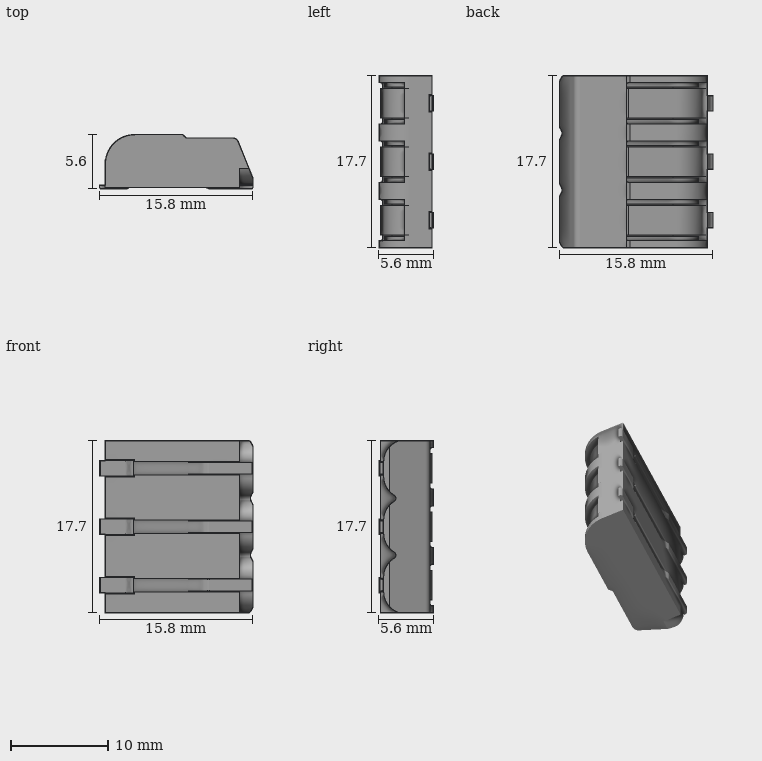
import cadquery as cq
import math

LENGTH_Z = 17.7
HALF_Z = LENGTH_Z / 2
POLE_PITCH = 6.0
POLES = (-POLE_PITCH, 0.0, POLE_PITCH)
OVER = 0.18

HEIGHT = 5.45
CORNER_RADIUS = 3.05
STEP_DROP = 0.34
STEP_FOOT_X = 8.3
LOW_TOP = HEIGHT - STEP_DROP
SLOPE_TOP_X = 13.52
WIRE_END_X = 15.2
SLOPE_FOOT_Y = 0.94
SLOPE_FILLET = 0.7
CORNER_CENTER_Y = HEIGHT - CORNER_RADIUS

ENTRY_START_X = 13.82
ENTRY_BOTTOM = 0.34
ENTRY_RADIUS = 2.23
VALLEY_RADIUS = 0.35
MIDDLE_FLAT_Z = 0.7
OUTER_FLAT_Z = (5.13, 6.7)
ENTRY_CENTER_Y = ENTRY_BOTTOM + ENTRY_RADIUS

RECESS_WIDTH = 4.23
RECESS_CORNER = 0.16
LEDGE_Y = 2.83
SIDE_RADIUS = 2.18
SIDE_END_Y = 4.87
LEVER_WIDTH = 3.05
SLIT_WIDTH = 0.15
SLIT_STEP_X = 3.54
SLIT_STEP_Y = 4.1
LEVER_RADIUS = 2.85
LEVER_CENTER = (3.22, 2.16)
LEVER_FOOT_RADIUS = 0.39
LEVER_END_Y = 5.31

SLOT_DEPTH = ENTRY_BOTTOM
WIDE_SLOT_END_X = 3.03
WIDE_SLOT_WIDTH = 1.8
NARROW_SLOT_WIDTH = 1.38
PIN_BOTTOM = -0.15
PIN_TOP = 0.25
LEFT_PIN_START_X = -0.6
LEFT_PIN_WIDTH = 1.6
LEFT_BEND_X = (2.1, 2.78)
LEFT_PIN_END_X = 2.9
LEFT_PIN_END_Y = 0.15
RIGHT_PIN_WIDTH = 1.2
RIGHT_PIN_START_X = 8.58
RIGHT_BEND_TOP = ((9.72, 0.28), (9.98, 0.21))
RIGHT_BEND_FOOT = ((10.51, -0.07), (10.7, PIN_BOTTOM))
PIN_CHAMFER = 0.12


def slab(outline, width, z_center):
    """Extrude a closed XY outline to a width centred on z_center."""
    return outline.extrude(width).translate((0, 0, z_center - width / 2))


def bar(x_range, y_range, width, z_center):
    """Rectangular block centred on z_center."""
    x_min, x_max = x_range
    y_min, y_max = y_range
    outline = cq.Workplane("XY").moveTo(x_min, y_min).lineTo(x_max, y_min).lineTo(x_max, y_max)
    return slab(outline.lineTo(x_min, y_max).close(), width, z_center)


def on_circle(center, radius, angle):
    """Point at an angle in degrees measured from the first axis."""
    turn = math.radians(angle)
    return (center[0] + radius * math.cos(turn), center[1] + radius * math.sin(turn))


def make_housing():
    corner = (CORNER_RADIUS, CORNER_CENTER_Y)
    outline = (
        cq.Workplane("XY")
        .lineTo(0, CORNER_CENTER_Y)
        .threePointArc(on_circle(corner, CORNER_RADIUS, 135), (CORNER_RADIUS, HEIGHT))
        .lineTo(STEP_FOOT_X - STEP_DROP, HEIGHT)
        .lineTo(STEP_FOOT_X, LOW_TOP)
        .lineTo(SLOPE_TOP_X, LOW_TOP)
        .lineTo(WIRE_END_X, SLOPE_FOOT_Y)
        .lineTo(WIRE_END_X, 0)
        .close()
    )
    slope_edge = cq.selectors.NearestToPointSelector((SLOPE_TOP_X, LOW_TOP, 0))
    return slab(outline, LENGTH_Z, 0).edges(slope_edge).fillet(SLOPE_FILLET)


def make_entry_cutter():
    """Space under the three rounded wire entries, bounded above by a wavy outline in the YZ plane."""
    inner_z, outer_z = OUTER_FLAT_Z
    half_span = (inner_z - MIDDLE_FLAT_Z) / 2
    valley_z = MIDDLE_FLAT_Z + half_span
    valley_y = ENTRY_CENTER_Y - math.sqrt((ENTRY_RADIUS + VALLEY_RADIUS) ** 2 - half_span**2)
    touch = math.degrees(math.acos(half_span / (ENTRY_RADIUS + VALLEY_RADIUS)))
    rim = math.degrees(math.acos((HALF_Z - outer_z) / ENTRY_RADIUS))

    def entry_point(z, side, angle):
        y = ENTRY_CENTER_Y - ENTRY_RADIUS * math.sin(math.radians(angle))
        return (y, z + side * ENTRY_RADIUS * math.cos(math.radians(angle)))

    def half_way(angle):
        return (angle + 90) / 2

    outline = cq.Workplane("YZ").moveTo(-OVER, -HALF_Z).lineTo(*entry_point(-outer_z, -1, rim))
    outline = outline.threePointArc(entry_point(-outer_z, -1, half_way(rim)), (ENTRY_BOTTOM, -outer_z))
    outline = outline.lineTo(ENTRY_BOTTOM, -inner_z)
    for left_z, right_z in ((-inner_z, -MIDDLE_FLAT_Z), (MIDDLE_FLAT_Z, inner_z)):
        middle_z = math.copysign(valley_z, left_z)
        left_end = entry_point(left_z, 1, touch)
        outline = outline.threePointArc(entry_point(left_z, 1, half_way(touch)), left_end)
        outline = outline.threePointArc((valley_y + VALLEY_RADIUS, middle_z), entry_point(right_z, -1, touch))
        outline = outline.threePointArc(entry_point(right_z, -1, half_way(touch)), (ENTRY_BOTTOM, right_z))
        outline = outline.lineTo(ENTRY_BOTTOM, MIDDLE_FLAT_Z if right_z < 0 else outer_z)
    outline = outline.threePointArc(entry_point(outer_z, 1, half_way(rim)), entry_point(outer_z, 1, rim))
    outline = outline.lineTo(-OVER, HALF_Z).close()
    return outline.extrude(WIRE_END_X + OVER - ENTRY_START_X).translate((ENTRY_START_X, 0, 0))


def make_recess_cutter(z_center):
    block = bar((-OVER, STEP_FOOT_X), (LEDGE_Y, HEIGHT + OVER), RECESS_WIDTH, z_center)
    return block.edges("|Y and >X").fillet(RECESS_CORNER)


def make_side_rest(z_center, width):
    """Rest beside the lever: an arc concentric with the housing corner, then a slope tangent to it."""
    center = (CORNER_RADIUS, CORNER_CENTER_Y)
    start_angle = 180 - math.degrees(math.asin((LEDGE_Y - CORNER_CENTER_Y) / SIDE_RADIUS))
    start = on_circle(center, SIDE_RADIUS, start_angle)
    end_run = STEP_FOOT_X - CORNER_RADIUS
    end_rise = SIDE_END_Y - CORNER_CENTER_Y
    tangent_angle = math.degrees(
        math.atan2(end_rise, end_run) + math.acos(SIDE_RADIUS / math.hypot(end_run, end_rise))
    )
    outline = (
        cq.Workplane("XY")
        .moveTo(*start)
        .threePointArc(
            on_circle(center, SIDE_RADIUS, (start_angle + tangent_angle) / 2),
            on_circle(center, SIDE_RADIUS, tangent_angle),
        )
        .lineTo(STEP_FOOT_X, SIDE_END_Y)
        .lineTo(STEP_FOOT_X, LEDGE_Y)
        .close()
    )
    return slab(outline, width, z_center)


def make_lever(z_center):
    center_x, center_y = LEVER_CENTER
    reach = LEVER_RADIUS + LEVER_FOOT_RADIUS
    foot_y = LEDGE_Y + LEVER_FOOT_RADIUS
    foot_x = center_x - math.sqrt(reach**2 - (foot_y - center_y) ** 2)
    touch = math.degrees(math.asin((foot_y - center_y) / reach))
    foot = (foot_x, foot_y)
    outline = (
        cq.Workplane("XY")
        .moveTo(0, CORNER_CENTER_Y)
        .lineTo(0, LEDGE_Y)
        .lineTo(foot_x, LEDGE_Y)
        .threePointArc(
            on_circle(foot, LEVER_FOOT_RADIUS, -(90 + touch) / 2),
            on_circle(foot, LEVER_FOOT_RADIUS, -touch),
        )
        .threePointArc(on_circle(LEVER_CENTER, LEVER_RADIUS, 135), (center_x, center_y + LEVER_RADIUS))
        .lineTo(STEP_FOOT_X - (LEVER_END_Y - LOW_TOP), LEVER_END_Y)
        .lineTo(STEP_FOOT_X, LOW_TOP)
        .lineTo(STEP_FOOT_X, CORNER_CENTER_Y)
        .close()
    )
    return slab(outline, LEVER_WIDTH, z_center)


def make_left_pin(z_center):
    start_x, end_x = LEFT_BEND_X
    outline = (
        cq.Workplane("XY")
        .moveTo(LEFT_PIN_START_X, PIN_TOP)
        .lineTo(LEFT_PIN_START_X, PIN_BOTTOM + PIN_CHAMFER)
        .lineTo(LEFT_PIN_START_X + PIN_CHAMFER, PIN_BOTTOM)
        .lineTo(start_x, PIN_BOTTOM)
        .spline([(end_x, LEFT_PIN_END_Y)], tangents=[(1, 0), (1, 0)], includeCurrent=True)
        .lineTo(LEFT_PIN_END_X, LEFT_PIN_END_Y)
        .lineTo(LEFT_PIN_END_X, SLOT_DEPTH)
        .lineTo(start_x, SLOT_DEPTH)
        .lineTo(0, PIN_TOP)
        .close()
    )
    return slab(outline, LEFT_PIN_WIDTH, z_center)


def make_right_pin(z_center):
    bend_start, bend_end = RIGHT_BEND_TOP
    foot_start, foot_end = RIGHT_BEND_FOOT
    outline = (
        cq.Workplane("XY")
        .moveTo(RIGHT_PIN_START_X, SLOT_DEPTH)
        .lineTo(*bend_start)
        .tangentArcPoint(bend_end, relative=False)
        .lineTo(*foot_start)
        .tangentArcPoint(foot_end, relative=False)
        .lineTo(WIRE_END_X - PIN_CHAMFER, PIN_BOTTOM)
        .lineTo(WIRE_END_X, PIN_BOTTOM + PIN_CHAMFER)
        .lineTo(WIRE_END_X, PIN_TOP)
        .lineTo(foot_end[0], PIN_TOP)
        .lineTo(foot_start[0], SLOT_DEPTH)
        .close()
    )
    return slab(outline, RIGHT_PIN_WIDTH, z_center)


def add_lever(body, z_center):
    """Recess the corner and place the lever, the slits and the side rests in it."""
    rest_width = (RECESS_WIDTH - LEVER_WIDTH) / 2 - SLIT_WIDTH
    rest_offset = (RECESS_WIDTH - rest_width) / 2
    body = body.cut(make_recess_cutter(z_center))
    body = body.union(bar((SLIT_STEP_X, STEP_FOOT_X), (LEDGE_Y, SLIT_STEP_Y), RECESS_WIDTH, z_center))
    for side in (-1, 1):
        body = body.union(make_side_rest(z_center + side * rest_offset, rest_width))
    return body.union(make_lever(z_center))


def add_pins(body, z_center):
    """Cut the slot along the pin face and place both contact pins in it."""
    slot_y = (-OVER, SLOT_DEPTH)
    body = body.cut(bar((-OVER, WIDE_SLOT_END_X), slot_y, WIDE_SLOT_WIDTH, z_center))
    body = body.cut(bar((-OVER, ENTRY_START_X), slot_y, NARROW_SLOT_WIDTH, z_center))
    return body.union(make_left_pin(z_center)).union(make_right_pin(z_center))


result = make_housing().cut(make_entry_cutter())
for pole_z in POLES:
    result = add_lever(result, pole_z)
    result = add_pins(result, pole_z)